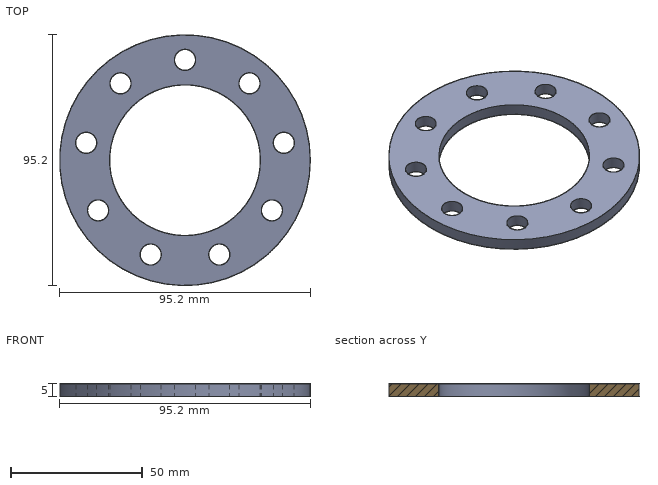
import cadquery as cq

outer_diameter = 95.25
bore_diameter = 57.15
thickness = 5.0

hole_count = 9
hole_diameter = 7.9
hole_circle_radius = (outer_diameter + bore_diameter) / 4
first_hole_angle = 90

ring = (
    cq.Workplane("XY")
    .circle(outer_diameter / 2)
    .circle(bore_diameter / 2)
    .extrude(thickness)
)

result = (
    ring.faces(">Z")
    .workplane(origin=(0, 0, thickness))
    .polarArray(hole_circle_radius, first_hole_angle, 360, hole_count)
    .hole(hole_diameter)
)